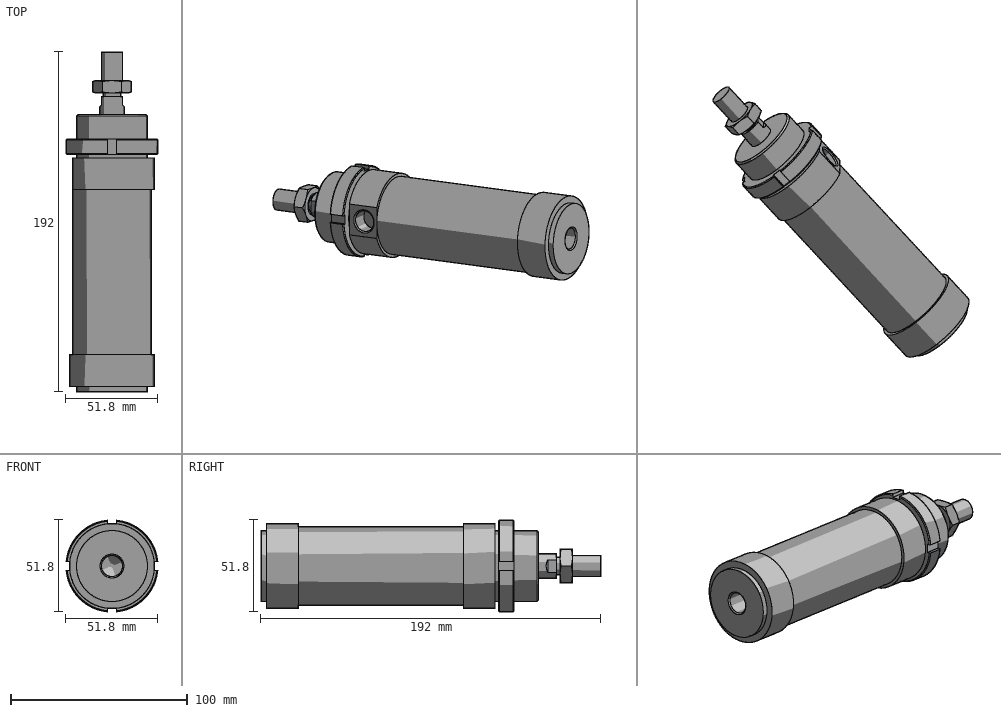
import cadquery as cq
import math

overall_length = 192.0
rear_end = -overall_length / 2
rod_tip = overall_length / 2

rear_boss_length = 3.0
cap_length = 18.0
tube_length = 93.1
undercut_length = 1.7
collar_length = 22.8
rear_cap_start = rear_end + rear_boss_length
tube_start = rear_cap_start + cap_length
front_cap_start = tube_start + tube_length
collar_start = front_cap_start + cap_length
collar_end = collar_start + undercut_length + collar_length

cap_diameter = 48.0
tube_diameter = 44.5
collar_diameter = 40.1
collar_chamfer = 1.0

port_diameter = 12.0
port_chamfer = 0.8
side_port_depth = 10.0
side_port_offset = 8.5
rear_port_depth = 12.0
drill_tip_angle = 118.0

ring_diameter = 52.0
ring_thickness = 9.0
ring_chamfer = 0.5
ring_start = collar_start + undercut_length
slot_width = 5.0
slot_depth = 2.1
slot_count = 4

rod_diameter = 14.0
thread_diameter = 12.0
neck_diameter = 10.0
neck_length = 2.1
shank_length = 10.0
flat_length = 4.8
across_rod_flats = 12.0
shank_end = collar_end + shank_length
neck_end = shank_end + neck_length

across_nut_flats = 19.0
nut_thickness = 7.0
nut_corner_diameter = across_nut_flats / math.cos(math.pi / 6)
nut_chamfer_height = 0.5


def disc(diameter, start, end):
    """Solid round bar along Y between two positions."""
    sketch = cq.Workplane("XZ", origin=(0, start, 0)).circle(diameter / 2)
    return sketch.extrude(start - end)


def port_cutter(depth, tip_height):
    """Drill shape along +Y from the origin: countersunk mouth, bore and optional conical tip."""
    bore_radius = port_diameter / 2
    profile = (
        cq.Workplane("XY")
        .moveTo(0, 0)
        .lineTo(bore_radius + port_chamfer, 0)
        .lineTo(bore_radius, port_chamfer)
        .lineTo(bore_radius, depth)
        .lineTo(0, depth + tip_height)
        .close()
    )
    return profile.revolve(360, (0, 0, 0), (0, 1, 0))


def make_housing():
    """Tube with both end caps, the rear boss, the front collar and two ports."""
    rear_boss = disc(collar_diameter, rear_end, rear_cap_start)
    rear_cap = disc(cap_diameter, rear_cap_start, tube_start)
    tube = disc(tube_diameter, tube_start, front_cap_start)
    front_cap = disc(cap_diameter, front_cap_start, collar_start)
    collar = disc(collar_diameter, collar_start, collar_end).faces(">Y").chamfer(collar_chamfer)

    seat_x = -tube_diameter / 2
    seat_cut = cq.Workplane("XY").box(cap_diameter, cap_length, cap_diameter)
    seat_cut_x = seat_x - cap_diameter / 2
    seat_cut_y = front_cap_start + cap_length / 2
    front_cap = front_cap.cut(seat_cut.translate((seat_cut_x, seat_cut_y, 0)))

    housing = rear_boss.union(rear_cap).union(tube).union(front_cap).union(collar)

    side_port_y = front_cap_start + side_port_offset
    side_port = port_cutter(side_port_depth, 0).rotate((0, 0, 0), (0, 0, 1), -90)
    housing = housing.cut(side_port.translate((seat_x, side_port_y, 0)))

    tip_height = port_diameter / 2 / math.tan(math.radians(drill_tip_angle / 2))
    rear_port = port_cutter(rear_port_depth, tip_height)
    return housing.cut(rear_port.translate((0, rear_end, 0)))


def make_mounting_ring():
    """Ring nut with evenly spaced spanner slots through its rim."""
    ring_end = ring_start + ring_thickness
    ring = disc(ring_diameter, ring_start, ring_end).faces("<Y or >Y").edges().chamfer(ring_chamfer)
    ring = ring.cut(disc(collar_diameter, ring_start, ring_end))
    slot = cq.Workplane("XY").box(2 * slot_depth, ring_thickness, slot_width)
    slot = slot.translate((ring_diameter / 2, (ring_start + ring_end) / 2, 0))
    for index in range(slot_count):
        ring = ring.cut(slot.rotate((0, 0, 0), (0, 1, 0), index * 360 / slot_count))
    return ring


def make_rod():
    """Rod shank with two wrench flats, a relief neck and a threaded end."""
    shank = disc(rod_diameter, collar_end, shank_end)
    flat_depth = (rod_diameter - across_rod_flats) / 2
    flat_start = shank_end - flat_length
    for side in (-1, 1):
        flat_cut = (
            cq.Workplane("XY")
            .moveTo(side * across_rod_flats / 2, shank_end)
            .lineTo(side * across_rod_flats / 2, flat_start)
            .lineTo(side * rod_diameter / 2, flat_start - flat_depth)
            .lineTo(side * rod_diameter / 2, shank_end)
            .close()
            .extrude(rod_diameter / 2, both=True)
        )
        shank = shank.cut(flat_cut)
    neck = disc(neck_diameter, shank_end, neck_end)
    thread = disc(thread_diameter, neck_end, rod_tip)
    return shank.union(neck).union(thread)


def make_lock_nut():
    """Hexagonal nut with corners on the X axis, chamfered on both faces."""
    nut_end = neck_end + nut_thickness
    hexagon = cq.Workplane("XZ", origin=(0, neck_end, 0)).polygon(6, nut_corner_diameter)
    nut = hexagon.extrude(-nut_thickness)
    corner_depth = (nut_corner_diameter - across_nut_flats) / 2
    envelope = disc(nut_corner_diameter, neck_end, nut_end)
    envelope = envelope.faces("<Y or >Y").edges().chamfer(nut_chamfer_height, corner_depth)
    return nut.intersect(envelope).cut(disc(thread_diameter, neck_end, nut_end))


housing = make_housing()
mounting_ring = make_mounting_ring()
rod = make_rod()
lock_nut = make_lock_nut()

bodies = [housing, mounting_ring, rod, lock_nut]
result = cq.Compound.makeCompound([body.solids().val() for body in bodies])